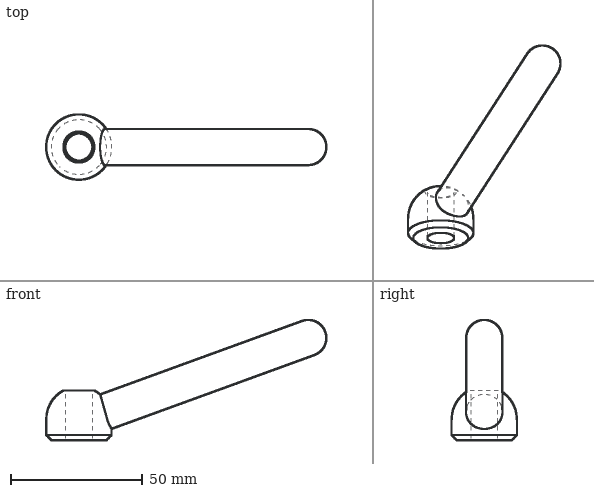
import cadquery as cq
import math

hub_radius = 12.5
hub_cylinder_height = 8.0
hub_height = 19.0
base_chamfer = 2.0
bore_diameter = 10.3

handle_radius = 7.0
overall_length = 106.9
overall_height = 46.0
handle_angle = 20.0

tip_x = overall_length - hub_radius - handle_radius
tip_z = overall_height - handle_radius

axis_z = tip_z - tip_x * math.tan(math.radians(handle_angle))
handle_length = math.hypot(tip_x, tip_z - axis_z)


def make_hub():
    flat_radius = math.sqrt(hub_radius**2 - (hub_height - hub_cylinder_height) ** 2)
    arc_angle = math.atan2(hub_height - hub_cylinder_height, flat_radius) / 2
    arc_middle = (
        hub_radius * math.cos(arc_angle),
        hub_cylinder_height + hub_radius * math.sin(arc_angle),
    )
    return (
        cq.Workplane("XZ")
        .lineTo(hub_radius - base_chamfer, 0)
        .lineTo(hub_radius, base_chamfer)
        .lineTo(hub_radius, hub_cylinder_height)
        .threePointArc(arc_middle, (flat_radius, hub_height))
        .lineTo(0, hub_height)
        .close()
        .revolve(360, (0, 0), (0, 1))
    )


def make_handle():
    shaft = cq.Workplane("YZ").circle(handle_radius).extrude(handle_length)
    tip = cq.Workplane("XY").sphere(handle_radius).translate((handle_length, 0, 0))
    return (
        shaft.union(tip)
        .rotate((0, 0, 0), (0, 1, 0), -handle_angle)
        .translate((0, 0, axis_z))
    )


bore = cq.Workplane("XY").circle(bore_diameter / 2).extrude(hub_height)
result = make_hub().union(make_handle()).cut(bore)